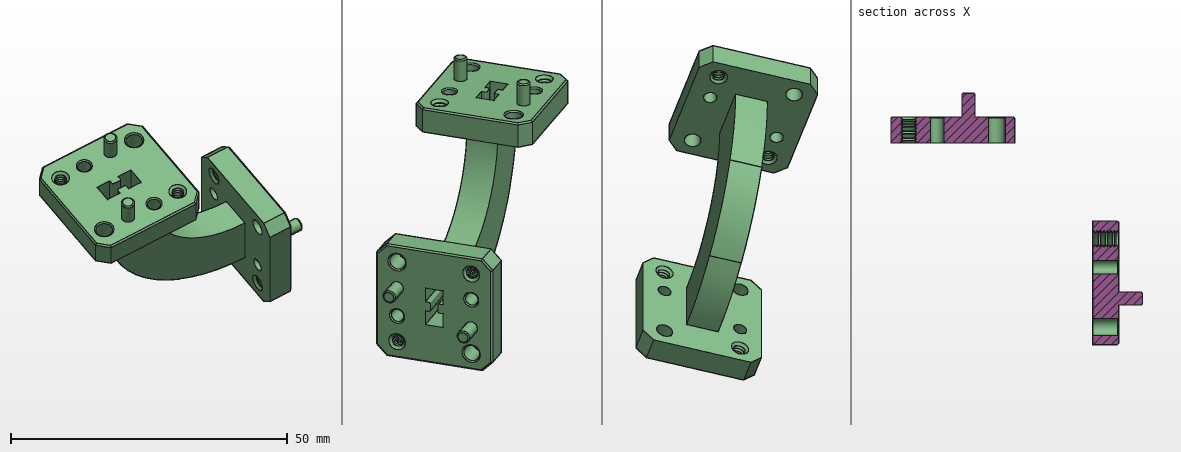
import cadquery as cq
import math

FLANGE_SIZE = 22.4
FLANGE_THICKNESS = 4.76
FLANGE_CORNER = 2.0
FLANGE_FACE_CHAMFER = 0.3

TUBE_WIDTH = 6.0
TUBE_DEPTH = 9.9
BEND_RADIUS = 25.1
BEND_ANGLE = 90
TUBE_STUB = 0.14

PAD_LENGTH = 18.0
PAD_HEIGHT = 0.1

GUIDE_DEPTH = 7.32
GUIDE_WIDTH = 3.4
RIDGE_WIDTH = 1.83
RIDGE_GAP = 1.48
RIDGE_FILLET = 0.28

HOLE_X = 7.14
SCREW_Y = 7.97
PIN_Y = 2.83

CLEARANCE_DIAMETER = 3.0
PIN_DIAMETER = 2.4
HOLE_RIM_CHAMFER = 0.25

PIN_PROJECTION = 4.3
PIN_TIP_CHAMFER = 0.25

THREAD_MINOR_DIAMETER = 2.15
THREAD_MAJOR_DIAMETER = 2.85
THREAD_PITCH = 0.635
THREAD_MOUTH_DIAMETER = 3.2


def bare_plate():
    """Plate from z = 0 (back) to its front face, with clipped corners."""
    return (
        cq.Workplane("XY")
        .rect(FLANGE_SIZE, FLANGE_SIZE)
        .extrude(FLANGE_THICKNESS)
        .edges("|Z")
        .chamfer(FLANGE_CORNER)
        .faces(">Z")
        .chamfer(FLANGE_FACE_CHAMFER)
    )


def turned(points):
    """Solid of revolution about Z from (radius, height) points."""
    return cq.Workplane("XZ").polyline(points).close().revolve(360, (0, 0, 0), (0, 1, 0))


def rimmed_hole(diameter):
    """Through-hole cutter with a chamfered rim at the front face."""
    radius = diameter / 2
    rim_radius = radius + HOLE_RIM_CHAMFER
    return turned([
        (0, 0),
        (radius, 0),
        (radius, FLANGE_THICKNESS - HOLE_RIM_CHAMFER),
        (rim_radius, FLANGE_THICKNESS),
        (0, FLANGE_THICKNESS),
    ])


def threaded_hole():
    """Through-hole cutter with V-shaped ring grooves for the thread and a chamfer at both ends."""
    minor = THREAD_MINOR_DIAMETER / 2
    major = THREAD_MAJOR_DIAMETER / 2
    mouth = THREAD_MOUTH_DIAMETER / 2
    mouth_depth = mouth - major
    threaded_length = FLANGE_THICKNESS - 2 * mouth_depth
    pitch_count = round(threaded_length / THREAD_PITCH)
    pitch = threaded_length / pitch_count
    points = [(0, 0), (mouth, 0), (major, mouth_depth)]
    for i in range(pitch_count):
        groove_start = mouth_depth + i * pitch
        points.append((minor, groove_start + pitch / 2))
        points.append((major, groove_start + pitch))
    points.append((mouth, FLANGE_THICKNESS))
    points.append((0, FLANGE_THICKNESS))
    return turned(points)


def dowel_pin():
    """Pin flush with the plate back and standing out of the front face."""
    return (
        cq.Workplane("XY")
        .circle(PIN_DIAMETER / 2)
        .extrude(FLANGE_THICKNESS + PIN_PROJECTION)
        .faces(">Z")
        .chamfer(PIN_TIP_CHAMFER)
    )


def flange():
    """One flange with its holes and pins; each feature repeats after half a turn."""
    plate = bare_plate()
    for side in (1, -1):
        plate = plate.cut(threaded_hole().translate((side * HOLE_X, side * SCREW_Y, 0)))
        plate = plate.cut(rimmed_hole(CLEARANCE_DIAMETER).translate((-side * HOLE_X, side * SCREW_Y, 0)))
        plate = plate.cut(rimmed_hole(PIN_DIAMETER).translate((side * HOLE_X, side * PIN_Y, 0)))
        plate = plate.union(dowel_pin().translate((-side * HOLE_X, side * PIN_Y, 0)))
    return plate


def guide_section(centre_y):
    """Double-ridge opening in the XY plane, centred at centre_y, with rounded ridge edges."""
    half_width = GUIDE_WIDTH / 2
    half_depth = GUIDE_DEPTH / 2
    half_gap = RIDGE_GAP / 2
    half_ridge = RIDGE_WIDTH / 2
    rounding = RIDGE_FILLET
    arc_inset = rounding * (1 - math.sqrt(0.5))
    section = cq.Workplane("XY").center(0, centre_y).moveTo(-half_width, half_depth)
    for side in (1, -1):
        section = (
            section.lineTo(side * half_width, side * half_depth)
            .lineTo(side * half_width, side * half_ridge)
            .lineTo(side * (half_gap + rounding), side * half_ridge)
            .threePointArc(
                (side * (half_gap + arc_inset), side * (half_ridge - arc_inset)),
                (side * half_gap, side * (half_ridge - rounding)),
            )
            .lineTo(side * half_gap, -side * (half_ridge - rounding))
            .threePointArc(
                (side * (half_gap + arc_inset), -side * (half_ridge - arc_inset)),
                (side * (half_gap + rounding), -side * half_ridge),
            )
            .lineTo(side * half_width, -side * half_ridge)
            .lineTo(side * half_width, -side * half_depth)
        )
    return section.close()


def rectangle_section(centre_y, depth):
    """Rectangle of tube width in the XY plane, centred at centre_y."""
    return cq.Workplane("XY").center(0, centre_y).rect(TUBE_WIDTH, depth)


def swung(section, centre_y, angle):
    """Revolve an XY section centred at centre_y about the X axis, from +Z end towards +Y end."""
    return section.revolve(angle, (0, -centre_y, 0), (1, -centre_y, 0))


def to_top(solid):
    """Move a solid from the flange frame to the +Z end of the bend."""
    return solid.translate((0, -BEND_RADIUS, 0))


def to_side(solid):
    """Move a solid from the flange frame to the +Y end of the bend."""
    return solid.rotate((0, 0, 0), (1, 0, 0), -BEND_ANGLE).translate((0, 0, -BEND_RADIUS))


def at_both_ends(solid):
    """The same flange-frame solid at both ends of the bend."""
    return to_top(solid).union(to_side(solid))


def tube():
    """Solid rectangular bend with its straight stubs."""
    curved = swung(rectangle_section(-BEND_RADIUS, TUBE_DEPTH), -BEND_RADIUS, BEND_ANGLE)
    stub = rectangle_section(0, TUBE_DEPTH).extrude(TUBE_STUB)
    return curved.union(at_both_ends(stub))


def label_pad():
    """Raised band on the outer side, centred along the bend; its root reaches the tube's centreline."""
    outer_radius = BEND_RADIUS + TUBE_DEPTH / 2
    span = math.degrees(PAD_LENGTH / outer_radius)
    depth = TUBE_DEPTH / 2 + PAD_HEIGHT
    centre_y = -BEND_RADIUS - depth / 2
    band = swung(rectangle_section(centre_y, depth), centre_y, span)
    return band.rotate((0, 0, 0), (1, 0, 0), (BEND_ANGLE - span) / 2)


def waveguide_passage():
    """Cutter for the opening through the bend and both flanges."""
    curved = swung(guide_section(-BEND_RADIUS), -BEND_RADIUS, BEND_ANGLE)
    port = guide_section(0).extrude(TUBE_STUB + FLANGE_THICKNESS)
    return curved.union(at_both_ends(port))


placed_flanges = at_both_ends(flange().translate((0, 0, TUBE_STUB)))
body = tube().union(label_pad()).union(placed_flanges)
result = body.cut(waveguide_passage())